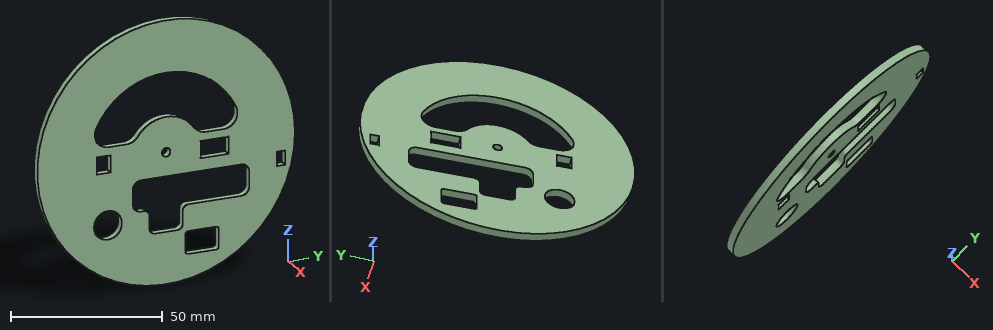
import cadquery as cq
import math

DISC_DIAMETER = 93.0
THICKNESS = 3.0

CENTRE_HOLE_DIAMETER = 3.0
SIDE_HOLE_DIAMETER = 10.0
SIDE_HOLE_CENTRE = (-21.0, -22.5)

ARCH_OUTER_RADIUS = 28.0
ARCH_INNER_RADIUS = 12.5
ARCH_BOTTOM_Z = 5.0
ARCH_FILLET = 5.0

SHARP_WINDOWS = [
    ((17.5, -1.0), 10.0, 6.0),
    ((-22.5, -1.0), 5.0, 6.0),
    ((41.5, -8.5), 3.0, 5.0),
]

ROUNDED_WINDOW_CENTRE = (13.0, -33.0)
ROUNDED_WINDOW_WIDTH = 12.0
ROUNDED_WINDOW_HEIGHT = 8.0
ROUNDED_WINDOW_FILLET = 1.0

LONG_LEFT_Y = 30.0
LONG_RIGHT_Y = -12.0
LONG_TOP_Z = -8.5
LONG_HEIGHT = 11.0
LONG_FILLET = 3.0
TAB_WIDTH = 12.0
TAB_BOTTOM_Z = -28.0
TAB_FILLET = 2.0


def yz_plane():
    """Sketch plane at the X = 0 face: local x is Y, local y is Z, extruding toward +X."""
    return cq.Workplane("YZ")


def box_cutter(centre, width, height):
    return yz_plane().center(*centre).rect(width, height).extrude(THICKNESS)


def round_cutter(centre, diameter):
    return yz_plane().center(*centre).circle(diameter / 2).extrude(THICKNESS)


def arch_cutter():
    """Arched window whose end fillets are tangent to the flat edge and to the arcs."""
    fillet_z = ARCH_BOTTOM_Z + ARCH_FILLET
    outer_reach = ARCH_OUTER_RADIUS - ARCH_FILLET
    inner_reach = ARCH_INNER_RADIUS + ARCH_FILLET
    outer_fillet_y = math.sqrt(outer_reach**2 - fillet_z**2)
    inner_fillet_y = math.sqrt(inner_reach**2 - fillet_z**2)

    outer_scale = ARCH_OUTER_RADIUS / outer_reach
    inner_scale = ARCH_INNER_RADIUS / inner_reach
    outer_y, outer_z = outer_fillet_y * outer_scale, fillet_z * outer_scale
    inner_y, inner_z = inner_fillet_y * inner_scale, fillet_z * inner_scale

    return (
        yz_plane()
        .moveTo(-outer_y, outer_z)
        .threePointArc((0, ARCH_OUTER_RADIUS), (outer_y, outer_z))
        .radiusArc((outer_fillet_y, ARCH_BOTTOM_Z), ARCH_FILLET)
        .lineTo(inner_fillet_y, ARCH_BOTTOM_Z)
        .radiusArc((inner_y, inner_z), ARCH_FILLET)
        .threePointArc((0, ARCH_INNER_RADIUS), (-inner_y, inner_z))
        .radiusArc((-inner_fillet_y, ARCH_BOTTOM_Z), ARCH_FILLET)
        .lineTo(-outer_fillet_y, ARCH_BOTTOM_Z)
        .radiusArc((-outer_y, outer_z), ARCH_FILLET)
        .close()
        .extrude(THICKNESS)
    )


def rounded_window_cutter():
    window = box_cutter(ROUNDED_WINDOW_CENTRE, ROUNDED_WINDOW_WIDTH, ROUNDED_WINDOW_HEIGHT)
    return window.edges("|X").fillet(ROUNDED_WINDOW_FILLET)


def long_window_cutter():
    """Long rounded window joined to a tab centred on Y = 0, with every corner filleted."""
    long_bottom_z = LONG_TOP_Z - LONG_HEIGHT
    long_centre = ((LONG_LEFT_Y + LONG_RIGHT_Y) / 2, LONG_TOP_Z - LONG_HEIGHT / 2)
    tab_centre = (0, (LONG_TOP_Z + TAB_BOTTOM_Z) / 2)

    long_box = box_cutter(long_centre, LONG_LEFT_Y - LONG_RIGHT_Y, LONG_HEIGHT)
    long_box = long_box.edges("|X").fillet(LONG_FILLET)
    tab_box = box_cutter(tab_centre, TAB_WIDTH, LONG_TOP_Z - TAB_BOTTOM_Z)

    tab_edges = cq.selectors.BoxSelector(
        (0, -TAB_WIDTH / 2 - TAB_FILLET / 2, TAB_BOTTOM_Z - TAB_FILLET / 2),
        (THICKNESS, TAB_WIDTH / 2 + TAB_FILLET / 2, long_bottom_z + TAB_FILLET / 2),
    )
    return long_box.union(tab_box).edges("|X").edges(tab_edges).fillet(TAB_FILLET)


result = yz_plane().circle(DISC_DIAMETER / 2).extrude(THICKNESS)
result = result.cut(round_cutter((0, 0), CENTRE_HOLE_DIAMETER))
result = result.cut(round_cutter(SIDE_HOLE_CENTRE, SIDE_HOLE_DIAMETER))
result = result.cut(arch_cutter())
for window_centre, window_width, window_height in SHARP_WINDOWS:
    result = result.cut(box_cutter(window_centre, window_width, window_height))
result = result.cut(rounded_window_cutter())
result = result.cut(long_window_cutter())